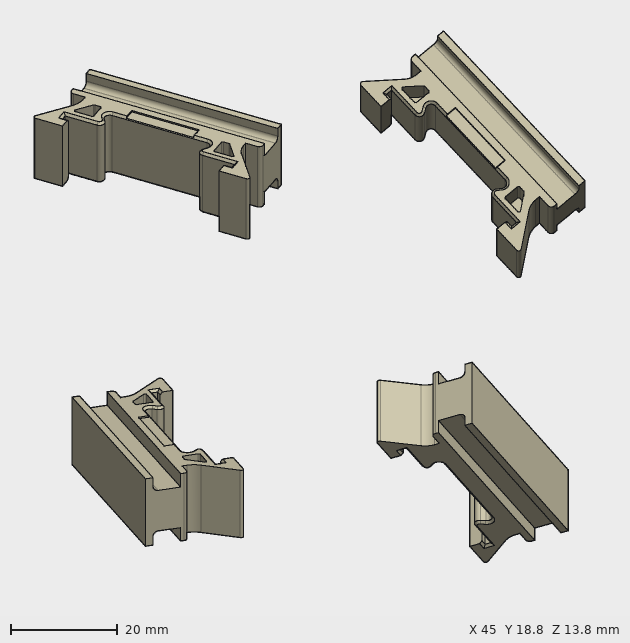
import cadquery as cq
import math

LENGTH = 45.0
DEPTH = 18.8
HEIGHT = 13.8

RAIL_LENGTH = 40.05
RAIL_FRONT = 10.3
RAIL_CORNER_RADIUS = 0.8
GROOVE_FRONT = 11.8
REAR_FLANGE = 1.55
GROOVE_DEPTH = 2.75
GROOVE_FILLET = 1.0

NECK_HALF = 16.8
LEG_ANGLE = 52.0
NECK_FILLET = 4.0
TIP_RADIUS = 0.5
FOOT_INNER_HALF = 16.4
FOOT_THICKNESS = 2.55

SLOT_HALF = 17.7
SLOT_REAR = 3.8
BAY_REAR = 7.85
BAY_CORNER_HALF = 11.9
LIP_CORNER_HALF = 9.05
BAY_RADIUS = 1.05
MOUTH_CHAMFER = 0.5

POCKET_INNER_HALF = 12.6
POCKET_FRONT = 5.25
POCKET_REAR = 8.8
POCKET_REAR_WIDTH = 1.58
POCKET_RADIUS = 0.3
POCKET_DEPTH = 5.85

LABEL_LENGTH = 14.05
LABEL_DEPTH = 0.3

LEG_SLOPE = math.tan(math.radians(LEG_ANGLE))
TIP_HALF = LENGTH / 2 - TIP_RADIUS + TIP_RADIUS / math.tan(math.radians(LEG_ANGLE / 2))
NECK_CORNER_Y = (TIP_HALF - NECK_HALF) * LEG_SLOPE


def round_corners(body, half_x, y, radius):
    """Round the pair of upright edges at (-half_x, y) and (half_x, y)."""
    reach = 0.05
    for x in (-half_x, half_x):
        near_edge = cq.selectors.BoxSelector(
            (x - reach, y - reach, 0), (x + reach, y + reach, HEIGHT)
        )
        body = body.edges("|Z").edges(near_edge).fillet(radius)
    return body


def make_body():
    """Extrude the mirrored outline and round its corners."""
    right_half = [
        (RAIL_LENGTH / 2, DEPTH),
        (RAIL_LENGTH / 2, RAIL_FRONT),
        (NECK_HALF, RAIL_FRONT),
        (NECK_HALF, NECK_CORNER_Y),
        (TIP_HALF, 0),
        (FOOT_INNER_HALF, 0),
        (FOOT_INNER_HALF, FOOT_THICKNESS),
        (SLOT_HALF, FOOT_THICKNESS),
        (SLOT_HALF, SLOT_REAR),
        (LIP_CORNER_HALF, SLOT_REAR),
        (BAY_CORNER_HALF, BAY_REAR),
    ]
    left_half = [(-x, y) for x, y in reversed(right_half)]
    body = cq.Workplane("XY").polyline(right_half + left_half).close().extrude(HEIGHT)
    body = round_corners(body, RAIL_LENGTH / 2, RAIL_FRONT, RAIL_CORNER_RADIUS)
    body = round_corners(body, NECK_HALF, NECK_CORNER_Y, NECK_FILLET)
    body = round_corners(body, TIP_HALF, 0, TIP_RADIUS)
    body = round_corners(body, LIP_CORNER_HALF, SLOT_REAR, BAY_RADIUS)
    return round_corners(body, BAY_CORNER_HALF, BAY_REAR, BAY_RADIUS)


def chamfer_mouths(body):
    """Chamfer the bay and slot edges on the top and bottom faces."""
    margin = 0.05
    bay_edges = cq.selectors.BoxSelector(
        (-SLOT_HALF - margin, FOOT_THICKNESS - margin, -margin),
        (SLOT_HALF + margin, BAY_REAR + margin, HEIGHT + margin),
    )
    return body.faces("|Z").edges(bay_edges).chamfer(MOUTH_CHAMFER)


def make_groove():
    """Rail groove along X, cut down from the top face."""
    rear = DEPTH - REAR_FLANGE
    return (
        cq.Workplane("XY")
        .box(RAIL_LENGTH, rear - GROOVE_FRONT, GROOVE_DEPTH, centered=(True, False, False))
        .translate((0, GROOVE_FRONT, HEIGHT - GROOVE_DEPTH))
        .edges("|X and >Y and <Z")
        .fillet(GROOVE_FILLET)
    )


def make_pocket():
    """Blind pocket in the right leg, with its slanted side parallel to the leg."""
    rear_outer = POCKET_INNER_HALF + POCKET_REAR_WIDTH
    front_outer = rear_outer + (POCKET_REAR - POCKET_FRONT) / LEG_SLOPE
    outline = [
        (POCKET_INNER_HALF, POCKET_FRONT),
        (front_outer, POCKET_FRONT),
        (rear_outer, POCKET_REAR),
        (POCKET_INNER_HALF, POCKET_REAR),
    ]
    return (
        cq.Workplane("XY", origin=(0, 0, HEIGHT))
        .polyline(outline)
        .close()
        .extrude(-POCKET_DEPTH)
        .edges("|Z")
        .fillet(POCKET_RADIUS)
    )


def make_label_recess():
    """Shallow label recess that opens through the chamfer of the bay edge."""
    return (
        cq.Workplane("XY")
        .box(LABEL_LENGTH, RAIL_FRONT - BAY_REAR, LABEL_DEPTH, centered=(True, False, False))
        .translate((0, BAY_REAR, HEIGHT - LABEL_DEPTH))
    )


groove = make_groove()
pocket = make_pocket()

result = chamfer_mouths(make_body())
result = result.cut(groove).cut(groove.mirror("XY", (0, 0, HEIGHT / 2)))
result = result.cut(pocket).cut(pocket.mirror("YZ"))
result = result.cut(make_label_recess())